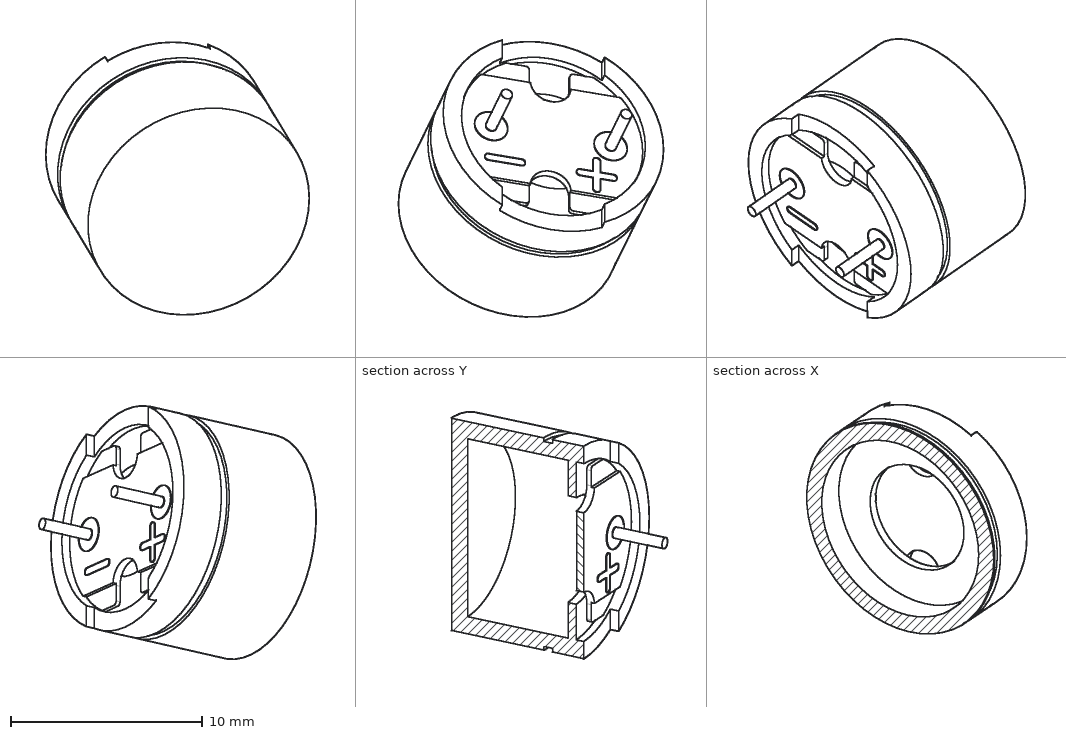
import cadquery as cq


HOUSING_RADIUS = 6.0
HOUSING_LENGTH = 8.5
GROOVE_START = 2.4
GROOVE_WIDTH = 0.5
GROOVE_DEPTH = 0.2
BORE_RADIUS = 5.0
NOTCH_WIDTH = 5.57
NOTCH_DEPTH = 0.5
FLOOR_THICKNESS = 0.5
FLOOR_HOLE_RADIUS = 3.0
END_WALL = HOUSING_RADIUS - BORE_RADIUS

PLATE_FACE = NOTCH_DEPTH
STEP_DEPTH = 0.2
EDGE_THICKNESS = 0.25
PLATE_BACK = PLATE_FACE + STEP_DEPTH + EDGE_THICKNESS
STRIP_HEIGHT = 6.5
FLAT_HEIGHT = 8.81
SLOT_RADIUS = 1.1
SLOT_TIP = 2.25
SLOT_CORNER_RADIUS = 0.2

RELIEF = 0.05
MARK_LENGTH = 2.21
MARK_WIDTH = 0.41
MARK_Y = 2.5
MARK_Z = -2.0
MARK_BARS = ((MARK_Y, 0), (-MARK_Y, 0), (-MARK_Y, 90))

PIN_RADIUS = 0.3
PIN_PROJECTION = 2.51
PIN_PITCH = 6.5
COLLAR_RADIUS = 0.9

SIDES = (-1, 1)


def plane_at(x):
    """Sketch plane facing +X at the given X, with sketch axes along Y and Z."""
    return cq.Workplane("YZ", origin=(x, 0, 0))


def disc(radius, start, end, y=0):
    """Cylinder along X from start to end, centred at the given Y."""
    return plane_at(start).center(y, 0).circle(radius).extrude(end - start)


def pin_y(side):
    return side * PIN_PITCH / 2


def make_housing():
    body = disc(HOUSING_RADIUS, 0, HOUSING_LENGTH)
    groove_end = GROOVE_START + GROOVE_WIDTH
    groove = disc(HOUSING_RADIUS, GROOVE_START, groove_end).cut(
        disc(HOUSING_RADIUS - GROOVE_DEPTH, GROOVE_START, groove_end)
    )
    recess = disc(BORE_RADIUS, 0, PLATE_BACK)
    cavity_start = PLATE_BACK + FLOOR_THICKNESS
    floor_hole = disc(FLOOR_HOLE_RADIUS, PLATE_BACK, cavity_start)
    cavity = disc(BORE_RADIUS, cavity_start, HOUSING_LENGTH - END_WALL)
    notches = plane_at(0).rect(NOTCH_WIDTH, 2 * HOUSING_RADIUS).extrude(NOTCH_DEPTH)
    return body.cut(groove).cut(recess).cut(floor_hole).cut(cavity).cut(notches)


def make_slot(side):
    """Round-ended slot through the plate, open towards +Z (side 1) or -Z (side -1)."""
    tip_centre = side * (SLOT_TIP + SLOT_RADIUS)
    straight = BORE_RADIUS - abs(tip_centre)
    straight_centre = tip_centre + side * straight / 2
    tip = plane_at(PLATE_FACE).center(0, tip_centre).circle(SLOT_RADIUS)
    opening = plane_at(PLATE_FACE).center(0, straight_centre).rect(2 * SLOT_RADIUS, straight)
    depth = PLATE_BACK - PLATE_FACE
    return tip.extrude(depth).union(opening.extrude(depth))


def make_mark(y, angle):
    """Raised bar with round ends, standing on the plate face."""
    bar = plane_at(PLATE_FACE - RELIEF).center(y, MARK_Z)
    return bar.slot2D(MARK_LENGTH, MARK_WIDTH, angle).extrude(RELIEF)


def make_plate():
    rim_face = PLATE_FACE + STEP_DEPTH
    full_width = 2 * BORE_RADIUS
    flats = plane_at(rim_face).rect(full_width, FLAT_HEIGHT).extrude(EDGE_THICKNESS)
    strip = plane_at(PLATE_FACE).rect(full_width, STRIP_HEIGHT).extrude(STEP_DEPTH)
    round_blank = disc(BORE_RADIUS, PLATE_FACE, PLATE_BACK)
    plate = flats.union(strip)
    for side in SIDES:
        plate = plate.cut(make_slot(side))
    mouth_corners = cq.selectors.BoxSelector(
        (PLATE_FACE, -2 * SLOT_RADIUS, -FLAT_HEIGHT), (PLATE_BACK, 2 * SLOT_RADIUS, FLAT_HEIGHT)
    )
    plate = plate.edges("|X and (<Z or >Z)").edges(mouth_corners).fillet(SLOT_CORNER_RADIUS)
    plate = plate.intersect(round_blank)
    for y, angle in MARK_BARS:
        plate = plate.union(make_mark(y, angle))
    for side in SIDES:
        plate = plate.cut(disc(PIN_RADIUS, PLATE_FACE, PLATE_BACK, pin_y(side)))
    return plate


def make_collar(side):
    start = PLATE_FACE - RELIEF
    y = pin_y(side)
    return disc(COLLAR_RADIUS, start, PLATE_FACE, y).cut(disc(PIN_RADIUS, start, PLATE_FACE, y))


def make_pin(side):
    return disc(PIN_RADIUS, -PIN_PROJECTION, PLATE_BACK, pin_y(side))


housing = make_housing()
plate = make_plate()
collars = [make_collar(side) for side in SIDES]
pins = [make_pin(side) for side in SIDES]

result = cq.Compound.makeCompound(
    [housing.val(), plate.val(), *[collar.val() for collar in collars], *[pin.val() for pin in pins]]
)